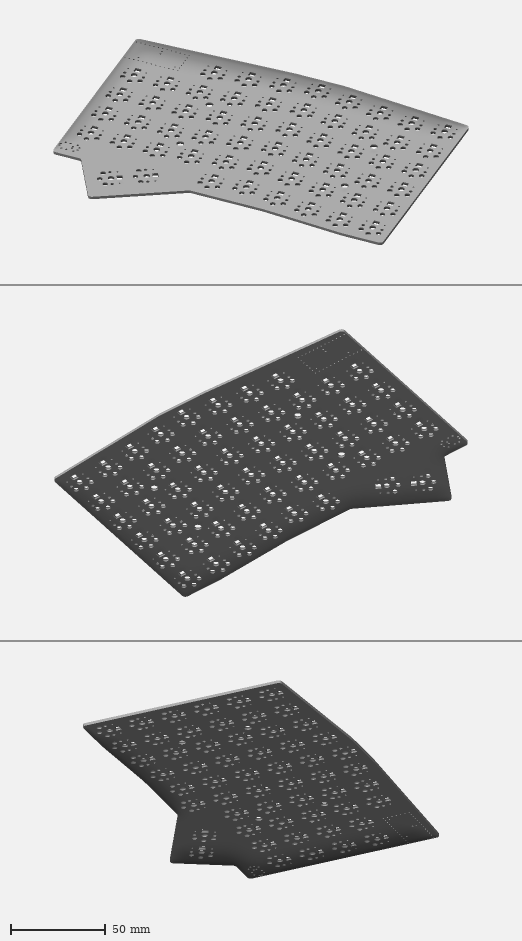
import cadquery as cq
import math

length = 194.0
width = 146.0
thickness = 1.6
left = -length / 2
right = length / 2
top = width / 2
bottom = -width / 2
plate_normal = cq.Vector(0, 0, 1)

corner_radius = 2.1
thumb_angle = 30
flat_top_left_x = -6.4
flat_top_right_x = 21.5
left_shoulder_y = 68.7
right_shoulder_y = 66.3
left_foot_y = -43.5
thumb_tip_x = -62.7
thumb_end_y = -46.8
bend_x = 26.5
right_foot_x = 73.5
right_foot_y = -50.0

column_count = 10
grid_center_x = 0.9
column_span = 171.5
first_column_x = grid_center_x - column_span / 2
key_pitch = column_span / (column_count - 1)
fourth_row_y = -0.5
top_row_y = fourth_row_y + 3 * key_pitch
column_staggers = [0, 0, 0, 2.0, 4.5, 7.0, 4.5, 2.0, 0, 0]
first_rows = [1, 1, 0, 0, 0, 0, 0, 0, 0, 0]
last_rows = [4, 4, 4, 4, 5, 5, 5, 5, 5, 5]

thumb_key_x = -58.5
thumb_key_y = -53.2
thumb_key_count = 2
thumb_key_turn = -90

stem_diameter = 3.5
pin_diameter = 3.0
side_post_diameter = 1.8
clip_diameter = 1.0
lower_pin_y = -6.0
outer_pin_x = 5.0
outer_pin_y = -3.7
side_post_x = 5.5
clip_x = 5.2
clip_y = 4.0
window_length = 3.5
window_width = 3.1
window_y = 4.7

mount_diameter = 4.0
mount_left_x = -37.5
mount_spacing_columns = 5
mount_spacing_x = mount_spacing_columns * key_pitch
mount_spacing_y = 38.6
mount_bottom_y = -9.7

header_diameter = 0.75
header_column_count = 13
header_left_gap = 1.26
header_left_x = left + header_left_gap
header_length = 30.5
header_pitch = header_length / (header_column_count - 1)
header_top_y = 65.5
header_row_count = 7
pad_diameter = 1.0
reset_pad_x = -79.7
reset_pad_y = 62.9
reset_pad_spacing = 2.1
battery_pad_x = -89.0

jack_axis_y = -35.9
jack_pin_diameter = 1.2
jack_peg_diameter = 1.2
jack_pin_offsets = [3.3, 6.2, 10.3]
jack_pin_y = 3.0
jack_sleeve_offset = 12.0
jack_sleeve_y = 1.1
jack_peg_offsets = [1.4, 8.5]
jack_peg_y = 0.75


def plate_outline():
    """Sharp-cornered outline, clockwise from the upper left corner."""
    turn = math.radians(thumb_angle)
    tip_lift = corner_radius * (math.sin(turn) + math.cos(turn) - 1)
    thumb_tip_y = bottom - tip_lift
    thumb_start_x = thumb_tip_x - (left_foot_y - thumb_tip_y) * math.tan(turn)
    thumb_end_x = thumb_tip_x + (thumb_end_y - thumb_tip_y) / math.tan(turn)
    return [
        (left, left_shoulder_y),
        (flat_top_left_x, top),
        (flat_top_right_x, top),
        (right, right_shoulder_y),
        (right, right_foot_y),
        (right_foot_x, right_foot_y),
        (bend_x, thumb_end_y),
        (thumb_end_x, thumb_end_y),
        (thumb_tip_x, thumb_tip_y),
        (thumb_start_x, left_foot_y),
        (left, left_foot_y),
    ]


def solid_plate():
    """Plate with every corner rounded and no holes."""
    plate = cq.Workplane("XY").polyline(plate_outline()).close().extrude(thickness)
    return plate.edges("|Z").fillet(corner_radius)


def key_places():
    """Centre and turn of every key: the staggered grid, then the thumb keys."""
    places = []
    for column in range(column_count):
        x = first_column_x + column * key_pitch
        for row in range(first_rows[column], last_rows[column] + 1):
            y = top_row_y + column_staggers[column] - row * key_pitch
            places.append(cq.Location(cq.Vector(x, y, 0)))
    for step in range(thumb_key_count):
        along = cq.Vector(step * key_pitch, 0, 0)
        wing = cq.Location(cq.Vector(thumb_key_x, thumb_key_y, 0), plate_normal, thumb_angle)
        places.append(wing * cq.Location(along, plate_normal, thumb_key_turn))
    return places


def round_holes(diameter, points):
    return [cq.Wire.makeCircle(diameter / 2, cq.Vector(x, y, 0), plate_normal) for x, y in points]


def both_sides(x, y):
    return [(-x, y), (x, y)]


def key_openings():
    """Openings of one key centred on the origin, with its window towards +Y."""
    window = cq.Workplane("XY").center(0, window_y).rect(window_length, window_width).wires().vals()
    return (
        window
        + round_holes(stem_diameter, [(0, 0)])
        + round_holes(pin_diameter, [(0, lower_pin_y)] + both_sides(outer_pin_x, outer_pin_y))
        + round_holes(side_post_diameter, both_sides(side_post_x, 0))
        + round_holes(clip_diameter, both_sides(clip_x, clip_y))
    )


def mount_holes():
    points = []
    for x in (mount_left_x, mount_left_x + mount_spacing_x):
        for y in (mount_bottom_y, mount_bottom_y + mount_spacing_y):
            points.append((x, y))
    return round_holes(mount_diameter, points)


def controller_holes():
    """Pin rows on three sides of the controller board, one inner pin and three pads."""
    last_column = header_column_count - 1
    last_row = header_row_count - 1
    grid = [(column, row) for column in range(header_column_count) for row in range(header_row_count)]
    pins = [(column, row) for column, row in grid if row in (0, last_row) or column == last_column]
    pins.append((last_column - 1, last_row - 1))
    pin_points = []
    for column, row in pins:
        x = header_left_x + column * header_pitch
        y = header_top_y - row * header_pitch
        pin_points.append((x, y))
    pad_points = [
        (battery_pad_x, header_top_y - (last_row - 1) * header_pitch),
        (reset_pad_x, reset_pad_y),
        (reset_pad_x, reset_pad_y - reset_pad_spacing),
    ]
    return round_holes(header_diameter, pin_points) + round_holes(pad_diameter, pad_points)


def jack_holes():
    """Pin and peg holes in pairs, one on each side of the jack axis."""
    pins = [(offset, jack_pin_y) for offset in jack_pin_offsets] + [(jack_sleeve_offset, jack_sleeve_y)]
    pegs = [(offset, jack_peg_y) for offset in jack_peg_offsets]
    holes = []
    for diameter, places in ((jack_pin_diameter, pins), (jack_peg_diameter, pegs)):
        for offset, y in places:
            points = [(left + offset, jack_axis_y - y), (left + offset, jack_axis_y + y)]
            holes += round_holes(diameter, points)
    return holes


openings = [wire.moved(place) for place in key_places() for wire in key_openings()]
openings += mount_holes() + controller_holes() + jack_holes()
outer_wire = solid_plate().faces("<Z").val().outerWire()
result = cq.Workplane("XY").newObject([outer_wire] + openings).toPending().extrude(thickness)